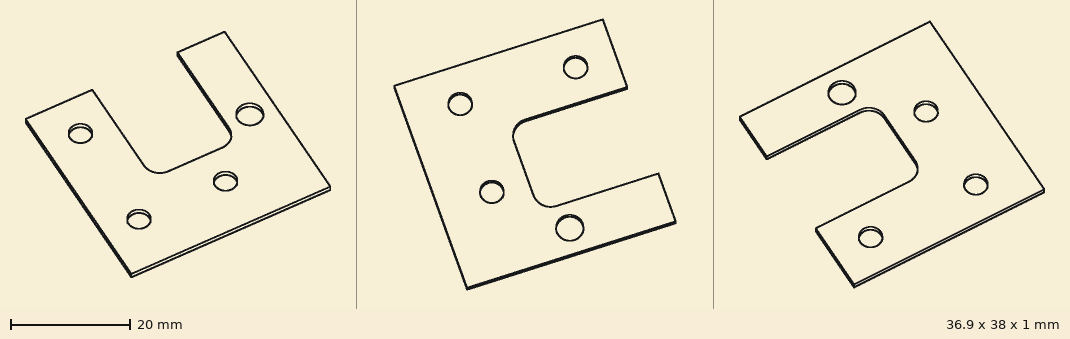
import cadquery as cq

plate_width = 36.9
plate_length = 38.0
plate_thickness = 1.0

notch_depth = 21.05
notch_bottom = 12.73
notch_height = 16.25
notch_corner_radius = 3.0

small_hole_diameter = 4.0
left_hole_x = 7.05
right_hole_x = 27.47
lower_hole_y = 6.6
upper_hole_y = 23.15

large_hole_diameter = 4.6
large_hole_x = 17.18
large_hole_edge_distance = 4.6


def make_plate():
    return cq.Workplane("XY").box(plate_width, plate_length, plate_thickness, centered=False)


def make_notch():
    notch = cq.Workplane("XY").box(notch_depth, notch_height, plate_thickness, centered=False)
    notch = notch.edges("|Z and >X").fillet(notch_corner_radius)
    return notch.translate((0, notch_bottom, 0))


def make_holes(centers, diameter):
    return cq.Workplane("XY").pushPoints(centers).circle(diameter / 2).extrude(plate_thickness)


small_hole_centers = [
    (left_hole_x, lower_hole_y),
    (right_hole_x, lower_hole_y),
    (right_hole_x, upper_hole_y),
]
large_hole_centers = [(large_hole_x, plate_length - large_hole_edge_distance)]

result = (
    make_plate()
    .cut(make_notch())
    .cut(make_holes(small_hole_centers, small_hole_diameter))
    .cut(make_holes(large_hole_centers, large_hole_diameter))
)